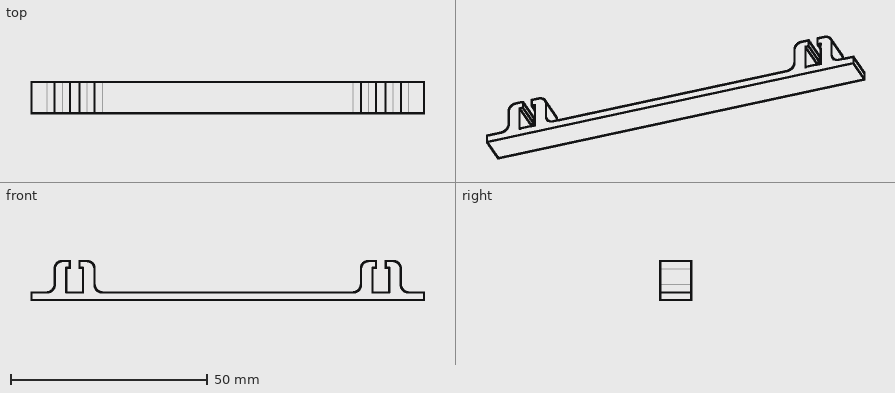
import cadquery as cq

length = 100.0
width = 8.0
base_thickness = 2.0

total_height = 10.0
clip_center_from_end = 11.0
wall_thickness = 3.0
slot_width = 4.2
mouth_width = 2.4
lip_thickness = 1.8
top_radius = 2.0
root_radius = 2.0

clip_offset = length / 2 - clip_center_from_end
clip_half_width = slot_width / 2 + wall_thickness


def hooked_wall(clip_x, side):
    """One wall of a clip; side is -1 for the -X wall and +1 for the +X wall."""

    def point(from_center, z):
        return (clip_x + side * from_center, z)

    profile = (
        cq.Workplane("XZ")
        .moveTo(*point(slot_width / 2, 0))
        .lineTo(*point(slot_width / 2, total_height - lip_thickness))
        .lineTo(*point(mouth_width / 2, total_height - lip_thickness))
        .lineTo(*point(mouth_width / 2, total_height))
        .lineTo(*point(clip_half_width - top_radius, total_height))
        .radiusArc(point(clip_half_width, total_height - top_radius), side * top_radius)
        .lineTo(*point(clip_half_width, base_thickness + root_radius))
        .radiusArc(point(clip_half_width + root_radius, base_thickness), -side * root_radius)
        .lineTo(*point(clip_half_width + root_radius, 0))
        .close()
    )
    return profile.extrude(width / 2, both=True)


result = cq.Workplane("XY").box(length, width, base_thickness, centered=(True, True, False))
for clip_x in (-clip_offset, clip_offset):
    for side in (-1, 1):
        result = result.union(hooked_wall(clip_x, side))
result = result.clean()